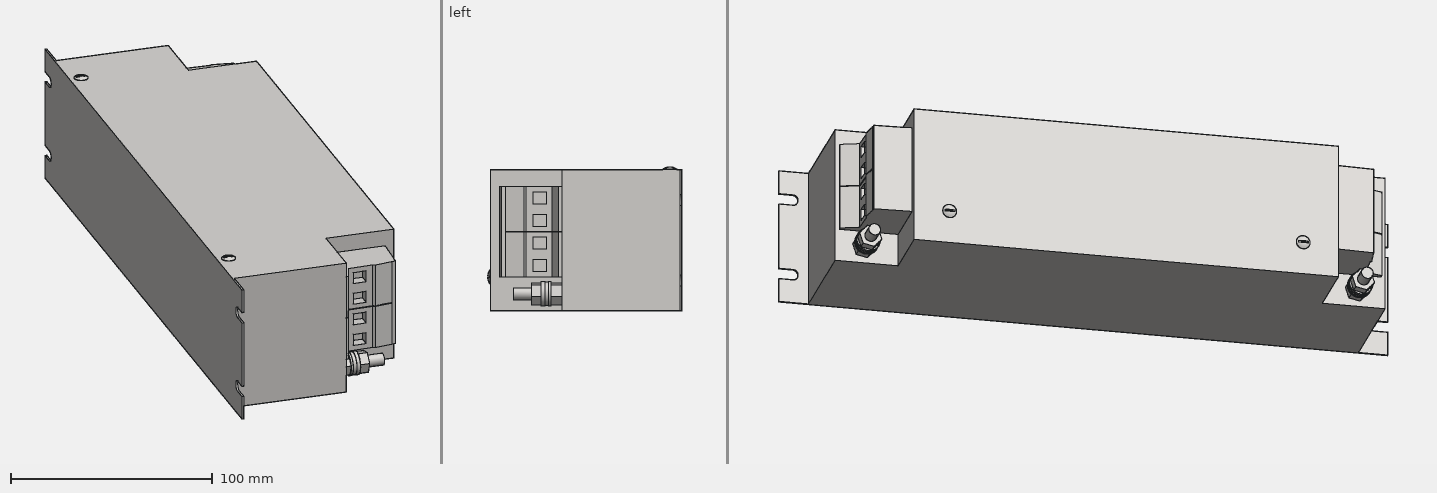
import cadquery as cq
import math

body_length = 280.0
body_depth = 95.0
body_height = 70.0
body_half = body_length / 2
notch_length = 32.0
notch_depth = 35.5
shelf_y = body_depth - notch_depth
notch_wall_x = body_half - notch_length

plate_length = 310.0
plate_thickness = 1.0
slot_width = 5.5
slot_centre_inset = 7.0
slot_heights = (15.0, 55.0)

screw_head_diameter = 7.0
screw_head_height = 1.38
screw_rim_height = 0.2
screw_slot_width = 0.8
screw_slot_depth = 0.6
screw_embed = 1.0
top_screw_x = 116.0
top_screw_y = 6.0
rear_screw_x = 90.0
rear_screw_z = 16.8

pole_count = 2
entries_per_pole = 2
entry_pitch = 11.2
pole_width = entries_per_pole * entry_pitch
terminal_bottom_z = 16.8
terminal_height = pole_count * pole_width
terminal_root_y = 90.4
terminal_top_y = 89.5
terminal_top_x = 127.3
pole_top_y = 87.5
pole_step = 0.15
lip_x = 128.8
lip_outer_y = 78.4
lip_inner_y = 77.2
entry_face_top_x = 128.2
entry_face_bottom_x = 128.7
flare_top_y = 64.4
flare_x = 137.9
flare_bottom_y = 61.3
entry_width = 6.7
entry_height = 5.9
entry_centre_y = 70.4
entry_depth = 6.0
pole_gap_width = 0.2
pole_gap_depth = 0.3

stud_x = 125.4
stud_z = 8.4
stud_diameter = 6.0
stud_length = 23.9
nut_across_flats = 10.0
nut_corner_diameter = nut_across_flats / math.cos(math.radians(30))
nut_turn = 12.0
lower_nut_height = 5.5
upper_nut_height = 4.8
wide_washer_diameter = 12.0
spring_washer_diameter = 11.6
washers = (
    (wide_washer_diameter, 1.1),
    (spring_washer_diameter, 1.9),
    (wide_washer_diameter, 1.9),
)


def make_housing():
    """Box with a full-height notch at both rear corners."""
    outline = [
        (-body_half, 0),
        (body_half, 0),
        (body_half, shelf_y),
        (notch_wall_x, shelf_y),
        (notch_wall_x, body_depth),
        (-notch_wall_x, body_depth),
        (-notch_wall_x, shelf_y),
        (-body_half, shelf_y),
    ]
    return cq.Workplane("XY").polyline(outline).close().extrude(body_height)


def make_plate():
    """Thin front plate with two round-ended slots open at each end."""
    plate = cq.Workplane("XY").box(plate_length, plate_thickness, body_height, centered=(True, False, False))
    slot_cutter_length = 2 * slot_centre_inset + slot_width
    slot_centres = [(side * plate_length / 2, z) for side in (-1, 1) for z in slot_heights]
    cutters = (
        cq.Workplane("XZ")
        .pushPoints(slot_centres)
        .slot2D(slot_cutter_length, slot_width)
        .extrude(-plate_thickness)
    )
    return plate.cut(cutters)


def make_screw():
    """Rimmed dome screw head on Z = 0 with its slot along Y and a short shank below."""
    head_radius = screw_head_diameter / 2
    dome_rise = screw_head_height - screw_rim_height
    dome_radius = (head_radius**2 + dome_rise**2) / (2 * dome_rise)
    dome_centre_z = screw_head_height - dome_radius
    mid_angle = math.asin(head_radius / dome_radius) / 2
    dome_mid = (dome_radius * math.sin(mid_angle), dome_centre_z + dome_radius * math.cos(mid_angle))
    head = (
        cq.Workplane("XZ")
        .moveTo(0, -screw_embed)
        .lineTo(head_radius, -screw_embed)
        .lineTo(head_radius, screw_rim_height)
        .threePointArc(dome_mid, (0, screw_head_height))
        .close()
        .revolve(360, (0, 0, 0), (0, 1, 0))
    )
    slot = (
        cq.Workplane("XY")
        .workplane(offset=screw_head_height - screw_slot_depth)
        .rect(screw_slot_width, screw_head_diameter)
        .extrude(screw_slot_depth)
    )
    return head.cut(slot)


def make_terminal():
    """Terminal block at the -X end, with wire entries in its outer face."""
    profile = [
        (-notch_wall_x, shelf_y),
        (-notch_wall_x, terminal_root_y),
        (-terminal_top_x, terminal_top_y),
        (-terminal_top_x, pole_top_y),
        (-terminal_top_x - pole_step, pole_top_y),
        (-lip_x, lip_outer_y),
        (-entry_face_top_x, lip_inner_y),
        (-entry_face_bottom_x, flare_top_y),
        (-flare_x, flare_bottom_y),
        (-flare_x, shelf_y),
    ]
    block = (
        cq.Workplane("XY")
        .workplane(offset=terminal_bottom_z)
        .polyline(profile)
        .close()
        .extrude(terminal_height)
    )
    for index in range(pole_count * entries_per_pole):
        entry_z = terminal_bottom_z + (index + 0.5) * entry_pitch
        entry = (
            cq.Workplane("XY")
            .box(2 * entry_depth, entry_width, entry_height)
            .translate((-entry_face_bottom_x, entry_centre_y, entry_z))
        )
        block = block.cut(entry)
    pole_gap_faces = [
        (-terminal_top_x, pole_top_y),
        (-entry_face_top_x + pole_gap_depth, lip_inner_y),
        (-entry_face_bottom_x + pole_gap_depth, flare_top_y),
        (-flare_x + pole_gap_depth, flare_bottom_y - pole_gap_depth),
        (-flare_x + pole_gap_depth, shelf_y),
        (-flare_x, shelf_y),
        (-flare_x, pole_top_y),
    ]
    for index in range(1, pole_count):
        pole_gap = (
            cq.Workplane("XY")
            .workplane(offset=terminal_bottom_z + index * pole_width - pole_gap_width / 2)
            .polyline(pole_gap_faces)
            .close()
            .extrude(pole_gap_width)
        )
        block = block.cut(pole_gap)
    return block


def make_earth_stud():
    """Stud along +Y at the -X end, with a nut, a washer stack and a second nut."""

    def disc(start_y, diameter, length):
        return (
            cq.Workplane("XZ", origin=(-stud_x, start_y, stud_z))
            .circle(diameter / 2)
            .extrude(-length)
        )

    def nut(start_y, height):
        return (
            cq.Workplane("XZ", origin=(-stud_x, start_y, stud_z))
            .transformed(rotate=(0, 0, nut_turn))
            .polygon(6, nut_corner_diameter)
            .extrude(-height)
        )

    stud = disc(shelf_y, stud_diameter, stud_length)
    stud = stud.union(nut(shelf_y, lower_nut_height))
    next_y = shelf_y + lower_nut_height
    for diameter, thickness in washers:
        stud = stud.union(disc(next_y, diameter, thickness))
        next_y += thickness
    return stud.union(nut(next_y, upper_nut_height))


result = make_housing().union(make_plate())

screw = make_screw()
rear_screw = screw.rotate((0, 0, 0), (0, 0, 1), 90).rotate((0, 0, 0), (1, 0, 0), -90)
for side in (-1, 1):
    result = result.union(screw.translate((side * top_screw_x, top_screw_y, body_height)))
    result = result.union(rear_screw.translate((side * rear_screw_x, body_depth, rear_screw_z)))

terminal = make_terminal()
result = result.union(terminal).union(terminal.mirror("YZ"))

earth_stud = make_earth_stud()
result = result.union(earth_stud).union(earth_stud.translate((2 * stud_x, 0, 0)))